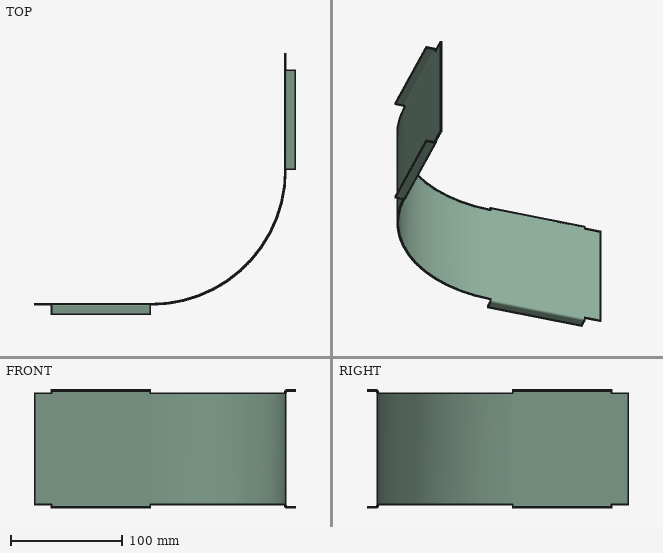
import cadquery as cq
import math

outer_size = 234.4
overall_height = 106.0
wall_height = 100.0
sheet = 1.0
flange_reach = 8.5
flat_length = 105.0
flange_setback = 15.0
flange_length = 89.0
bend_inner_radius = 1.0

wall_size = outer_size - flange_reach
outer_radius = wall_size - flat_length
inner_radius = outer_radius - sheet
bend_outer_radius = bend_inner_radius + sheet
flange_rise = (overall_height - wall_height) / 2
bend_start = flange_rise - bend_outer_radius
diagonal = math.sqrt(0.5)

arc_center = (flat_length, outer_radius)


def arc_middle(radius):
    """Point halfway round the quarter bend, facing +X and -Y."""
    return (arc_center[0] + radius * diagonal, arc_center[1] - radius * diagonal)


def make_wall():
    """Two flats at right angles joined by a quarter-circle bend."""
    return (
        cq.Workplane("XY")
        .workplane(offset=-wall_height / 2)
        .lineTo(flat_length, 0)
        .threePointArc(arc_middle(outer_radius), (wall_size, outer_radius))
        .lineTo(wall_size, wall_size)
        .lineTo(wall_size - sheet, wall_size)
        .lineTo(wall_size - sheet, outer_radius)
        .threePointArc(arc_middle(inner_radius), (flat_length, sheet))
        .lineTo(0, sheet)
        .close()
        .extrude(wall_height)
    )


def make_top_flange():
    """Lip that rises from the front flat and folds outward, toward -Y."""
    bend_center = (-bend_inner_radius, bend_start)

    def bend_middle(radius):
        return (bend_center[0] + radius * diagonal, bend_center[1] + radius * diagonal)

    return (
        cq.Workplane("YZ", origin=(flange_setback, 0, wall_height / 2))
        .lineTo(sheet, 0)
        .lineTo(sheet, bend_start)
        .threePointArc(bend_middle(bend_outer_radius), (-bend_inner_radius, flange_rise))
        .lineTo(-flange_reach, flange_rise)
        .lineTo(-flange_reach, flange_rise - sheet)
        .lineTo(-bend_inner_radius, flange_rise - sheet)
        .threePointArc(bend_middle(bend_inner_radius), (0, bend_start))
        .close()
        .extrude(flange_length)
    )


def mirror_across_corner(body):
    """Swap the front flat with the +X flat, across the bend's symmetry plane."""
    swapped = body.mirror("YZ").rotate((0, 0, 0), (0, 0, 1), 90)
    return swapped.translate((wall_size, wall_size, 0))


top_flange = make_top_flange()
front_flanges = top_flange.union(top_flange.mirror("XY"))
side_flanges = mirror_across_corner(front_flanges)

result = make_wall().union(front_flanges).union(side_flanges)